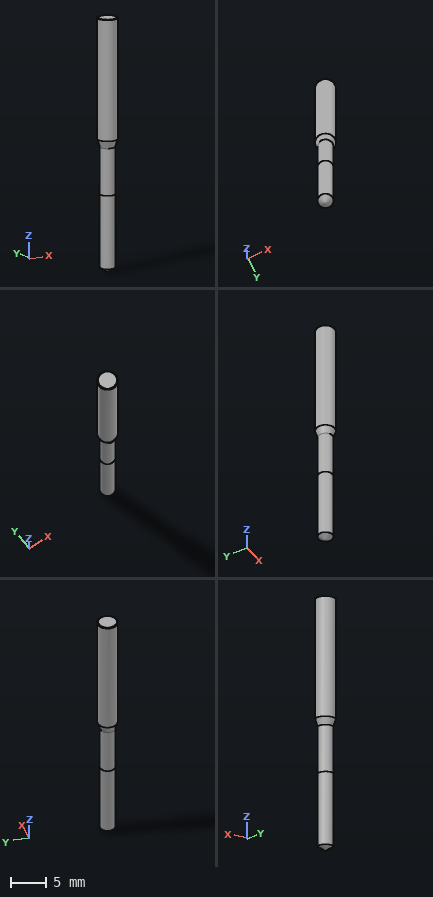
import cadquery as cq
import math

total_length = 37.5
cutting_length = 11.5

shank_diameter = 3.0
shank_length = 17.9
chamfer_width = 0.15
chamfer_height = 0.08

neck_top_diameter = 2.24
taper_length = 1.15

drill_diameter = 2.3
point_angle = 118.0

shank_radius = shank_diameter / 2
neck_top_radius = neck_top_diameter / 2
drill_radius = drill_diameter / 2
shank_bottom = total_length - shank_length
taper_bottom = shank_bottom - taper_length
point_height = drill_radius / math.tan(math.radians(point_angle / 2))


def revolved(outline):
    """Turn a half outline of (radius, height) points around the Z axis."""
    profile = cq.Workplane("XZ").polyline(outline).close()
    return profile.revolve(360, (0, 0, 0), (0, 1, 0))


def make_shank():
    """Chamfered shank, short taper, and a neck that widens slightly to the drill diameter."""
    return revolved([
        (0, cutting_length),
        (drill_radius, cutting_length),
        (neck_top_radius, taper_bottom),
        (shank_radius, shank_bottom),
        (shank_radius, total_length - chamfer_height),
        (shank_radius - chamfer_width, total_length),
        (0, total_length),
    ])


def make_cutting_part():
    """Plain cylinder of the drill diameter with a conical point."""
    return revolved([
        (0, 0),
        (drill_radius, point_height),
        (drill_radius, cutting_length),
        (0, cutting_length),
    ])


shank = make_shank()
cutting_part = make_cutting_part()

result = cq.Compound.makeCompound([shank.val(), cutting_part.val()])